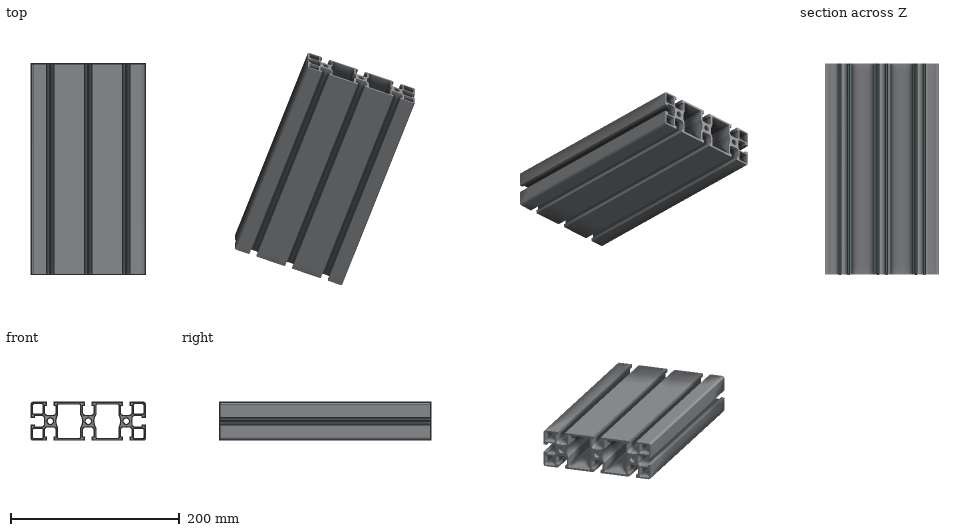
import cadquery as cq
import math

length = 250
width = 135.2
height = 45

pitch = 45
core_positions = [-pitch, 0, pitch]
outer_radius = 2.5

slot_opening = 9.0
slot_inner_width = 14.0
lip_thickness = 4.0
core_size = 14.0
floor_radius = 3.2
floor_groove_width = 1.2
floor_groove_depth = 0.5

wall = 1.8
slot_wall = 1.5
middle_slot_wall = 2.2
cover_thickness = 2.2
bow_radius = 15.8
chamber_radius = 1.0
cell_radius = 1.2
bore_diameter = 7.5


def extrude_profile(sketch):
    """Extrude a closed outline drawn in XZ along the whole length."""
    return sketch.extrude(length / 2, both=True)


def slot(distance_to_face):
    """T-slot opening toward +Z, with rounded floor corners and a V groove along its floor."""
    floor = core_size / 2
    ceiling = distance_to_face - lip_thickness
    inner = slot_inner_width / 2
    opening = slot_opening / 2
    groove = floor_groove_width / 2
    arc_end = inner - floor_radius
    arc_offset = floor_radius * math.sqrt(0.5)
    arc_middle = (arc_end + arc_offset, floor + floor_radius - arc_offset)
    return extrude_profile(
        cq.Workplane("XZ")
        .moveTo(0, floor - floor_groove_depth)
        .lineTo(groove, floor)
        .lineTo(arc_end, floor)
        .threePointArc(arc_middle, (inner, floor + floor_radius))
        .lineTo(inner, ceiling)
        .lineTo(opening, ceiling)
        .lineTo(opening, distance_to_face)
        .lineTo(-opening, distance_to_face)
        .lineTo(-opening, ceiling)
        .lineTo(-inner, ceiling)
        .lineTo(-inner, floor + floor_radius)
        .threePointArc((-arc_middle[0], arc_middle[1]), (-arc_end, floor))
        .lineTo(-groove, floor)
        .close()
    )


def corner_cell(x_side, z_side):
    """Rounded square hollow in one corner of the profile."""
    x_outer = width / 2 - wall
    z_outer = height / 2 - wall
    x_inner = core_positions[-1] + slot_inner_width / 2 + slot_wall
    z_inner = slot_inner_width / 2 + slot_wall
    cell = extrude_profile(
        cq.Workplane("XZ")
        .center(x_side * (x_outer + x_inner) / 2, z_side * (z_outer + z_inner) / 2)
        .rect(x_outer - x_inner, z_outer - z_inner)
    )
    return cell.edges("|Y").fillet(cell_radius)


def large_chamber(side):
    """Hollow between the middle core and an outer one, bowed out along the core flanks."""
    x_center = side * pitch / 2
    x_near = slot_inner_width / 2 + middle_slot_wall
    x_far = pitch - slot_inner_width / 2 - slot_wall
    half_height = height / 2 - cover_thickness
    hollow = extrude_profile(
        cq.Workplane("XZ")
        .center(side * (x_near + x_far) / 2, 0)
        .rect(x_far - x_near, 2 * half_height)
    )
    bow = extrude_profile(cq.Workplane("XZ").center(x_center, 0).circle(bow_radius))
    return hollow.edges("|Y").fillet(chamber_radius).union(bow)


result = cq.Workplane("XY").box(width, length, height).edges("|Y").fillet(outer_radius)

for x in core_positions:
    for turn in (0, 180):
        face_slot = slot(height / 2).rotate((0, 0, 0), (0, 1, 0), turn)
        result = result.cut(face_slot.translate((x, 0, 0)))

for x, turn in ((core_positions[0], -90), (core_positions[-1], 90)):
    side_slot = slot(width / 2 - core_positions[-1]).rotate((0, 0, 0), (0, 1, 0), turn)
    result = result.cut(side_slot.translate((x, 0, 0)))

for x_side in (-1, 1):
    for z_side in (-1, 1):
        result = result.cut(corner_cell(x_side, z_side))

for side in (-1, 1):
    result = result.cut(large_chamber(side))

bore_points = [(x, 0) for x in core_positions]
bores = extrude_profile(cq.Workplane("XZ").pushPoints(bore_points).circle(bore_diameter / 2))
result = result.cut(bores)